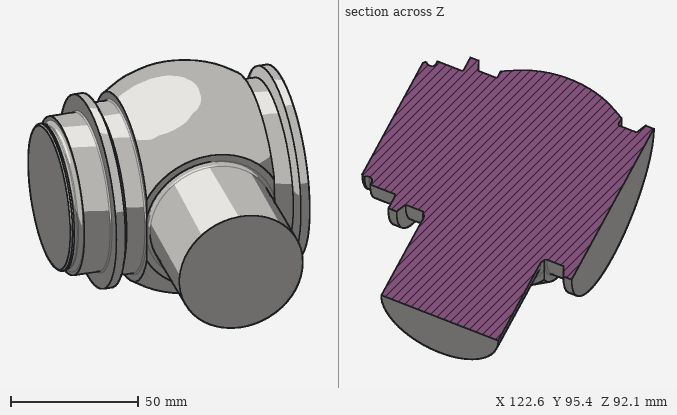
import cadquery as cq
import math

overall_length = 122.6
overall_depth = 95.4

ball_radius = 92.1 / 2
ball_half_width = 26.2
branch_flat_x = 35.2

branch_radius = 50.8 / 2
branch_end_x = overall_length - ball_radius
branch_fillet = 1.5

neck_radius = 68.8 / 2
neck_end = 34.2
root_fillet = 0.6
flange_radius = 77.5 / 2
flange_cone_end = 36.0
flange_face = 39.7

shoulder_radius = 63.4 / 2
shoulder_end = 50.8
plug_radius = 57.3 / 2
plug_fillet = 1.6
ridge_radius = 58.7 / 2
ridge_start = 54.2
ridge_end = 54.9
plug_end = overall_depth - flange_face


def fillet_middle(inner_radius, face, size):
    """Middle point (radius, distance) of a concave fillet rising from a flat face."""
    inset = size * (1 - math.sqrt(0.5))
    return (inner_radius + inset, face + inset)


def filleted_root(profile, radius, face, size):
    """Step in along a flat face and blend with a fillet onto a cylinder."""
    return (
        profile.lineTo(radius + size, face)
        .threePointArc(fillet_middle(radius, face, size), (radius, face + size))
    )


def make_ball():
    """Sphere trimmed flat on both Y sides and on the branch side."""
    length = ball_radius + branch_flat_x
    trim = cq.Workplane("XY").box(length, 2 * ball_half_width, 2 * ball_radius)
    trim = trim.translate(((branch_flat_x - ball_radius) / 2, 0, 0))
    return cq.Workplane("XY").sphere(ball_radius).intersect(trim)


def make_branch():
    """Plain round branch with a fillet at the ball, trimmed to the ball width."""
    profile = cq.Workplane("XY").lineTo(0, branch_radius + branch_fillet)
    profile = profile.lineTo(branch_flat_x, branch_radius + branch_fillet)
    middle_radius, middle_x = fillet_middle(branch_radius, branch_flat_x, branch_fillet)
    profile = (
        profile.threePointArc(
            (middle_x, middle_radius),
            (branch_flat_x + branch_fillet, branch_radius),
        )
        .lineTo(branch_end_x, branch_radius)
        .lineTo(branch_end_x, 0)
        .close()
    )
    trim = cq.Workplane("XY").box(2 * branch_end_x, 2 * ball_half_width, 2 * ball_radius)
    return profile.revolve(360, (0, 0, 0), (1, 0, 0)).intersect(trim)


def make_neck():
    """Neck and tapered flange, turned about Y on the +Y side."""
    profile = cq.Workplane("XY").lineTo(neck_radius + root_fillet, 0)
    profile = filleted_root(profile, neck_radius, ball_half_width, root_fillet)
    return (
        profile.lineTo(neck_radius, neck_end)
        .lineTo(flange_radius, flange_cone_end)
        .lineTo(flange_radius, flange_face)
        .lineTo(0, flange_face)
        .close()
        .revolve(360, (0, 0, 0), (0, 1, 0))
    )


def make_plug():
    """Shoulder and ridged spigot, turned about Y on the +Y side."""
    profile = cq.Workplane("XY").moveTo(0, flange_face)
    profile = filleted_root(profile, shoulder_radius, flange_face, root_fillet)
    profile = profile.lineTo(shoulder_radius, shoulder_end)
    profile = filleted_root(profile, plug_radius, shoulder_end, plug_fillet)
    flank_angle = math.acos(1 - (ridge_radius - plug_radius) / plug_fillet)
    flank_start = ridge_start - plug_fillet * math.sin(flank_angle)
    flank_middle = (
        plug_radius + plug_fillet * (1 - math.cos(flank_angle / 2)),
        flank_start + plug_fillet * math.sin(flank_angle / 2),
    )
    return (
        profile.lineTo(plug_radius, flank_start)
        .threePointArc(flank_middle, (ridge_radius, ridge_start))
        .lineTo(ridge_radius, ridge_end)
        .lineTo(plug_radius, plug_end)
        .lineTo(0, plug_end)
        .close()
        .revolve(360, (0, 0, 0), (0, 1, 0))
    )


neck = make_neck()
result = (
    make_ball()
    .union(make_branch())
    .union(neck)
    .union(neck.mirror("XZ"))
    .union(make_plug().mirror("XZ"))
)